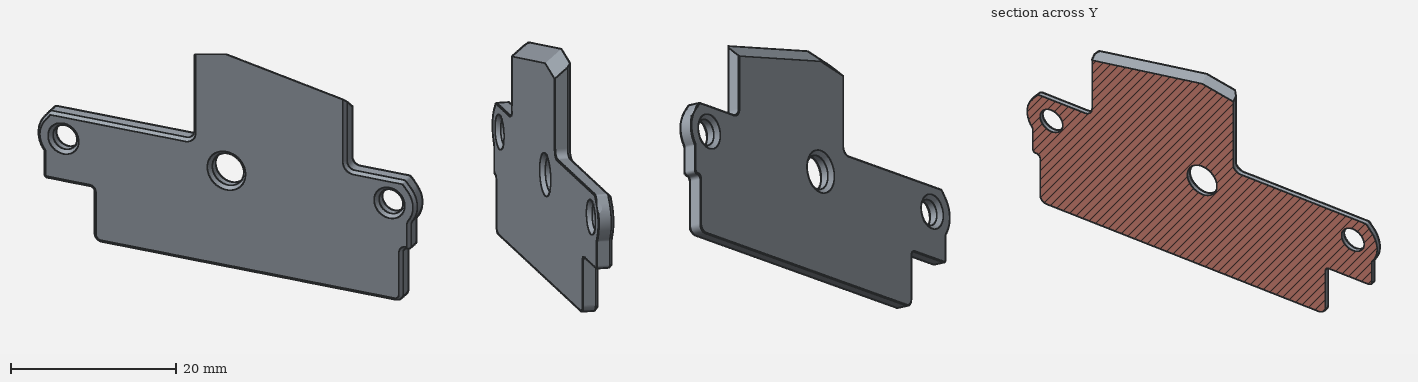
import cadquery as cq
import math

length = 50.6
thickness = 2.0
height = 28.6
front_chamfer = 0.4
back_chamfer = 0.1

hole_level = 13.0
center_hole_diameter = 4.2
lug_hole_diameter = 3.2
front_rim_chamfer = 0.45
back_rim_chamfer = 0.55

lug_radius = 3.55
lug_x = length / 2 - lug_radius
lug_corner_x = 23.7
lug_side_x = 24.5

facet_angle = 32.0
facet_inset = 0.1
facet_run = 0.6

shoulder_level = 16.25
step_level = 7.15
body_left = -17.8
body_right = 23.4
tower_left = -4.5
tower_right = 15.95

bottom_radius = 1.0
tower_foot_radius = 1.0
step_inner_radius = 0.5
step_outer_radius = 0.45
lug_corner_radius = 0.5
lug_side_radius = 0.5

roof_slope = 10.8
roof_bevel = 39.0
bevel_allowance = 2.55


def lug_tangent_point():
    """Point on the right lug where the line from the shoulder corner touches the circle."""
    run = lug_corner_x - lug_x
    rise = shoulder_level - hole_level
    angle = math.atan2(rise, run) - math.acos(lug_radius / math.hypot(run, rise))
    return (lug_x + lug_radius * math.cos(angle), hole_level + lug_radius * math.sin(angle))


tangent_x, tangent_z = lug_tangent_point()
lug_foot_z = hole_level - math.sqrt(lug_radius**2 - (lug_side_x - lug_x) ** 2)


def extrude_back(sketch, **options):
    """Extrude an XZ sketch from the front face toward the back."""
    return sketch.extrude(-thickness, **options)


def make_blank():
    """Sharp-cornered plate with a square-topped tower."""
    outline = (
        cq.Workplane("XZ")
        .moveTo(body_left, 0)
        .lineTo(body_right, 0)
        .lineTo(body_right, step_level)
        .lineTo(lug_side_x, step_level)
        .lineTo(lug_side_x, lug_foot_z)
        .threePointArc((length / 2, hole_level), (tangent_x, tangent_z))
        .lineTo(lug_corner_x, shoulder_level)
        .lineTo(tower_right, shoulder_level)
        .lineTo(tower_right, height + bevel_allowance)
        .lineTo(tower_left, height + bevel_allowance)
        .lineTo(tower_left, shoulder_level)
        .lineTo(-lug_corner_x, shoulder_level)
        .lineTo(-tangent_x, tangent_z)
        .threePointArc((-length / 2, hole_level), (-lug_side_x, lug_foot_z))
        .lineTo(-lug_side_x, step_level)
        .lineTo(body_left, step_level)
        .close()
    )
    return extrude_back(outline)


def round_corners(plate, corners, radius):
    """Fillet the edges along Y that stand at the given (x, z) corners."""
    for x, z in corners:
        nearest = cq.selectors.NearestToPointSelector((x, thickness / 2, z))
        plate = plate.edges("|Y").edges(nearest).fillet(radius)
    return plate


def make_roof():
    """Tapered block whose two upper faces slope down sideways and toward the back."""
    drop = length * math.tan(math.radians(roof_slope))
    profile = (
        cq.Workplane("XZ")
        .moveTo(0, height)
        .lineTo(length, height - drop)
        .lineTo(length, -length)
        .lineTo(-length, -length)
        .lineTo(-length, height - drop)
        .close()
    )
    return extrude_back(profile, taper=roof_bevel)


def make_rim_cone(x, radius, depth, face_y, inward):
    """45 degree cone that breaks a hole rim on the face at face_y, narrowing along inward."""
    return cq.Solid.makeCone(
        radius + depth,
        radius,
        depth,
        pnt=cq.Vector(x, face_y, hole_level),
        dir=cq.Vector(0, inward, 0),
    )


def make_hole(x, diameter):
    """Through hole with both rims chamfered."""
    radius = diameter / 2
    bore = extrude_back(cq.Workplane("XZ").center(x, hole_level).circle(radius))
    front_rim = make_rim_cone(x, radius, front_rim_chamfer, 0, 1)
    back_rim = make_rim_cone(x, radius, back_rim_chamfer, thickness, -1)
    return bore.union(cq.Workplane(front_rim)).union(cq.Workplane(back_rim))


def make_facet():
    """Wedge that shaves the back rim of the right lug, above its middle."""
    wedge = (
        cq.Workplane("XY")
        .moveTo(lug_radius - facet_inset, thickness)
        .lineTo(lug_radius, thickness - facet_run)
        .lineTo(lug_radius + facet_inset, thickness - facet_run)
        .lineTo(lug_radius + facet_inset, thickness)
        .close()
        .extrude(lug_radius / 2, both=True)
    )
    wedge = wedge.rotate((0, 0, 0), (0, 1, 0), -facet_angle)
    return wedge.translate((lug_x, 0, hole_level))


plate = make_blank()
plate = round_corners(plate, [(body_left, 0), (body_right, 0)], bottom_radius)
plate = round_corners(
    plate, [(tower_left, shoulder_level), (tower_right, shoulder_level)], tower_foot_radius
)
plate = round_corners(plate, [(body_left, step_level), (body_right, step_level)], step_inner_radius)
for side in (-1, 1):
    plate = round_corners(plate, [(side * lug_side_x, step_level)], step_outer_radius)
    plate = round_corners(plate, [(side * lug_corner_x, shoulder_level)], lug_corner_radius)
    plate = round_corners(plate, [(side * lug_side_x, lug_foot_z)], lug_side_radius)

plate = plate.faces("<Y").edges().chamfer(front_chamfer)
plate = plate.faces(">Y").edges().chamfer(back_chamfer)
plate = plate.intersect(make_roof())

plate = plate.cut(make_hole(0, center_hole_diameter))
for side in (-1, 1):
    plate = plate.cut(make_hole(side * lug_x, lug_hole_diameter))

facet = make_facet()
plate = plate.cut(facet).cut(facet.mirror("YZ"))

result = plate